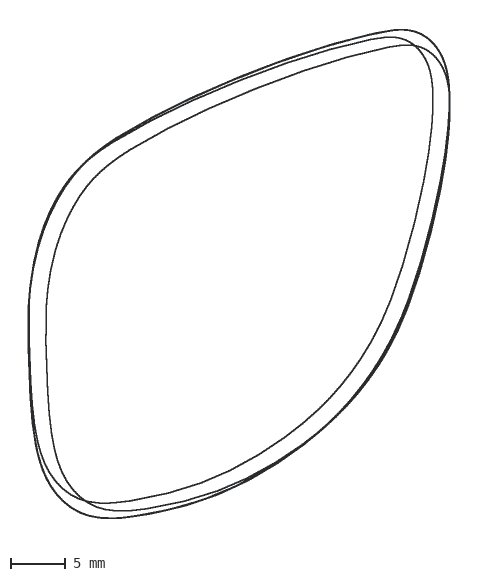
import cadquery as cq
import math

thickness = 2.25
edge_land = 0.05
inner_radius = 384.75
outer_radius = inner_radius + thickness
crown_y = -2.4
bevel = (thickness - edge_land) / 2
prism_length = 21.4
slab_height = 53.45
slab_half_width = 37.4

outline = [
    (-26.65, 2.15),
    (-26.15, -6.4),
    (-24.25, -12.8),
    (-20.2, -17.3),
    (-12.7, -19.9),
    (-2.95, -20.85),
    (5.75, -19.9),
    (12.9, -17.5),
    (19.15, -12.6),
    (22.85, -6.4),
    (25.3, 0.0),
    (26.7, 7.4),
    (26.15, 12.7),
    (22.05, 17.5),
    (16.7, 19.2),
    (8.0, 20.35),
    (-2.95, 20.8),
    (-13.7, 20.05),
    (-20.95, 17.75),
    (-25.2, 12.3),
]


def sag(radius, half_width):
    """Sag of an arc of this radius at half_width from its crown."""
    return radius - math.sqrt(radius**2 - half_width**2)


def curved_slab():
    """Upright curved slab with its crown's outer face at X = 0."""
    outer_x = -sag(outer_radius, slab_half_width)
    inner_x = -thickness - sag(inner_radius, slab_half_width)
    left = crown_y - slab_half_width
    right = crown_y + slab_half_width
    return (
        cq.Workplane("XY", origin=(0, 0, -slab_height / 2))
        .moveTo(outer_x, left)
        .threePointArc((0, crown_y), (outer_x, right))
        .lineTo(inner_x, right)
        .threePointArc((-thickness, crown_y), (inner_x, left))
        .close()
        .extrude(slab_height)
    )


def outline_prism():
    """Solid of the rim outline, running along X."""
    return (
        cq.Workplane("YZ", origin=(-prism_length / 2, 0, 0))
        .spline(outline, periodic=True)
        .wire()
        .extrude(prism_length)
    )


def bevelled_plate():
    """Curved slab trimmed to the outline, with both rim edges chamfered to a point."""
    plate = curved_slab().intersect(outline_prism())
    return plate.faces("<X or >X").edges().chamfer(bevel)


plate = bevelled_plate()
result = plate.translate((-plate.val().BoundingBox().center.x, 0, 0))